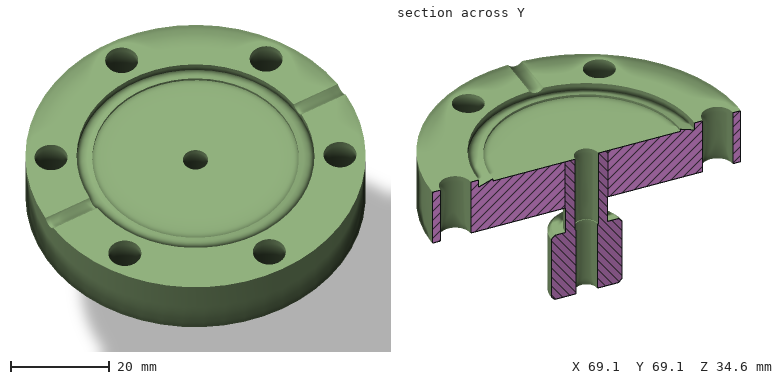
import cadquery as cq

flange_diameter = 69.1
flange_thickness = 12.7
bolt_hole_diameter = 6.7
bolt_circle_diameter = 58.65
bolt_count = 6

recess_diameter = 48.3
recess_depth = 1.7
knife_diameter = 41.95
knife_depth = 0.6
floor_depth = 1.2

groove_width = 3.1
groove_depth = 0.8
groove_radius = ((groove_width / 2) ** 2 + groove_depth**2) / (2 * groove_depth)

tube_diameter = 9.5
head_diameter = 15.9
head_chamfer = 0.8
head_top_z = -18.65
fitting_bottom_z = -34.6
upper_bore_diameter = 5.1
lower_bore_diameter = 4.8


def make_flange_blank():
    """Revolve the disc, including the recess, knife edge and central floor."""
    recess_radius = recess_diameter / 2
    knife_radius = knife_diameter / 2
    flange_radius = flange_diameter / 2
    profile = (
        cq.Workplane("XZ")
        .moveTo(0, -flange_thickness)
        .lineTo(flange_radius, -flange_thickness)
        .lineTo(flange_radius, 0)
        .lineTo(recess_radius, 0)
        .lineTo(recess_radius, -recess_depth)
        .lineTo(knife_radius, -knife_depth)
        .lineTo(knife_radius, -floor_depth)
        .lineTo(0, -floor_depth)
        .close()
    )
    return profile.revolve(360, (0, 0), (0, 1))


def make_bolt_holes():
    return (
        cq.Workplane("XY")
        .polarArray(bolt_circle_diameter / 2, 0, 360, bolt_count)
        .circle(bolt_hole_diameter / 2)
        .extrude(-flange_thickness)
    )


def make_groove_cutters():
    """Round bar along Y, interrupted at the recess so the knife edge stays whole."""
    bar = (
        cq.Workplane("XZ")
        .center(0, groove_radius - groove_depth)
        .circle(groove_radius)
        .extrude(flange_diameter / 2, both=True)
    )
    recess_space = cq.Workplane("XY").circle(recess_diameter / 2).extrude(2 * groove_radius, both=True)
    return bar.cut(recess_space)


def make_tube_hole():
    return cq.Workplane("XY").circle(tube_diameter / 2).extrude(-flange_thickness)


def make_flange():
    return (
        make_flange_blank()
        .cut(make_bolt_holes())
        .cut(make_groove_cutters())
        .cut(make_tube_hole())
    )


def make_fitting():
    """Tube flush with the recess floor, joined to its head, with a stepped bore."""
    head_height = head_top_z - fitting_bottom_z
    tube = (
        cq.Workplane("XY", origin=(0, 0, head_top_z))
        .circle(tube_diameter / 2)
        .extrude(-floor_depth - head_top_z)
    )
    head = (
        cq.Workplane("XY", origin=(0, 0, fitting_bottom_z))
        .circle(head_diameter / 2)
        .extrude(head_height)
        .edges("%CIRCLE")
        .chamfer(head_chamfer)
    )
    upper_bore = (
        cq.Workplane("XY", origin=(0, 0, head_top_z))
        .circle(upper_bore_diameter / 2)
        .extrude(-head_top_z)
    )
    lower_bore = (
        cq.Workplane("XY", origin=(0, 0, fitting_bottom_z))
        .circle(lower_bore_diameter / 2)
        .extrude(head_height)
    )
    return tube.union(head).cut(upper_bore).cut(lower_bore)


flange = make_flange()
fitting = make_fitting()

result = cq.Compound.makeCompound([flange.solids().val(), fitting.solids().val()])